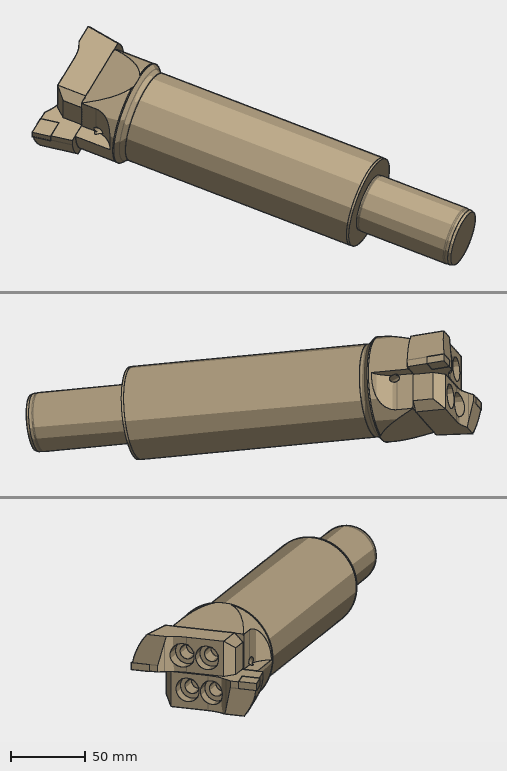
import cadquery as cq
import math


holder_front = 27.4
front_chamfer = 0.8
head_radius = 71.0 / 2
rim_radius = 71.3 / 2
rim_start = 55.6
rim_end = 56.5
shaft_radius = 63.0 / 2
relief_radius = 62.8 / 2
collar_angle = math.radians(45)
collar_length = 2.8
relief_end = 63.2
shaft_land_start = 228.1
shoulder = 229.8
spigot_radius = 40.0 / 2
spigot_relief_radius = 39.5 / 2
neck_end = 230.9
spigot_start = 231.7
spigot_end = 294.8
pilot_start = 295.8
overall_length = 300.0
end_chamfer_length = 2.0
end_chamfer_depth = 0.75

block_height = 25.0
block_inner_side = 24.9
corner_chamfer = 6.0
corner_chamfer_length = 7.0
front_setback = 6.5
hollow_start = 7.6
hollow_radius = 28.0
hollow_angle = math.radians(31)
tip_radius = 45.0
insert_length = 12.7
insert_width = 13.0
insert_height = 5.0
seat_setback = 0.3
insert_proud = 0.8
insert_front_proud = 0.1
side_angle = math.radians(10)
relief_angle = math.radians(8.5)
flank_radius = 39.0
screw_positions = (10.5, -7.0)
screw_height = 12.0
screw_diameter = 10.0
screw_head_diameter = 16.5
screw_head_depth = 8.5

flat_angle = math.radians(20)
pocket_wall = 25.6
pocket_flat_end = 38.5
pocket_radius = 16.5
coolant_diameter = 5.0
coolant_x = 40.6
coolant_height = 2.3
coolant_length = 20.0
coolant_angle = math.radians(40)

AXIS_START = cq.Vector(0, 0, 0)
AXIS_END = cq.Vector(1, 0, 0)


def half_turn(shape):
    """Copy of a shape turned by half a turn about the tool axis."""
    return shape.rotate(AXIS_START, AXIS_END, 180)


def turned_blank():
    """Head, rim, collar, shaft and spigot as one turned profile."""
    collar_end = rim_end + collar_length
    collar_radius = rim_radius - collar_length * math.tan(collar_angle)
    fillet_radius = (collar_radius - relief_radius) / (1 - math.cos(collar_angle))
    fillet_end = collar_end + fillet_radius * math.sin(collar_angle)
    fillet_middle = (
        fillet_end - fillet_radius * math.sin(collar_angle / 2),
        relief_radius + fillet_radius * (1 - math.cos(collar_angle / 2)),
    )
    return (
        cq.Workplane("XY")
        .moveTo(holder_front, 0)
        .lineTo(holder_front, head_radius - front_chamfer)
        .lineTo(holder_front + front_chamfer, head_radius)
        .lineTo(rim_start, head_radius)
        .lineTo(rim_start, rim_radius)
        .lineTo(rim_end, rim_radius)
        .lineTo(collar_end, collar_radius)
        .threePointArc(fillet_middle, (fillet_end, relief_radius))
        .lineTo(relief_end, relief_radius)
        .lineTo(relief_end, shaft_radius)
        .lineTo(shaft_land_start, shaft_radius)
        .lineTo(shaft_land_start, relief_radius)
        .lineTo(shoulder, relief_radius)
        .lineTo(shoulder, spigot_relief_radius)
        .lineTo(neck_end, spigot_relief_radius)
        .lineTo(spigot_start, spigot_radius)
        .lineTo(spigot_end, spigot_radius)
        .lineTo(pilot_start, spigot_relief_radius)
        .lineTo(overall_length - end_chamfer_length, spigot_relief_radius)
        .lineTo(overall_length, spigot_relief_radius - end_chamfer_depth)
        .lineTo(overall_length, 0)
        .close()
        .revolve(360, (0, 0, 0), (1, 0, 0))
    )


def head_flat():
    """Wedge above the sloping flat behind the upper cartridge."""
    run = rim_end - holder_front + rim_radius
    start_height = block_height - front_chamfer * math.tan(flat_angle)
    top = start_height + run * math.tan(flat_angle)
    return (
        cq.Workplane("XZ")
        .moveTo(holder_front, start_height)
        .lineTo(holder_front + run, top)
        .lineTo(holder_front, top)
        .close()
        .extrude(head_radius, both=True)
    )


def chip_pocket():
    """Gullet above the lower cartridge, running out along an arc."""
    wall = -pocket_wall
    return (
        cq.Workplane("XY")
        .moveTo(holder_front, wall)
        .lineTo(pocket_flat_end, wall)
        .radiusArc((pocket_flat_end + pocket_radius, wall - pocket_radius), pocket_radius)
        .lineTo(holder_front, wall - pocket_radius)
        .close()
        .extrude(head_radius)
    )


def coolant_hole():
    """Blind hole at the pocket floor, grazing it where the hole meets the pocket wall."""
    direction = cq.Vector(math.cos(coolant_angle), math.sin(coolant_angle), 0)
    entry = cq.Vector(coolant_x, -pocket_wall, coolant_height)
    lead_in = coolant_diameter / 2 / math.tan(coolant_angle)
    start = entry - direction * lead_in
    return cq.Workplane(
        cq.Solid.makeCylinder(coolant_diameter / 2, lead_in + coolant_length, start, direction)
    )


def make_holder():
    """Turned blank with flats, pockets and coolant holes on both sides."""
    body = turned_blank()
    for cutter in (head_flat(), chip_pocket(), coolant_hole()):
        body = body.cut(cutter).cut(half_turn(cutter))
    return body


def cartridge_flank():
    """Prism with the curved outer side, swept along the back taper."""
    seat_side = tip_radius - insert_proud
    flank_centre = seat_side - math.sqrt(flank_radius**2 - insert_height**2)
    top_side = flank_centre + math.sqrt(flank_radius**2 - block_height**2)
    inner = -2 * block_inner_side
    profile = (
        cq.Workplane("YZ")
        .moveTo(inner, seat_setback)
        .lineTo(seat_side, seat_setback)
        .lineTo(seat_side, insert_height)
        .radiusArc((top_side, block_height), -flank_radius)
        .lineTo(inner, block_height)
        .close()
    )
    sweep = cq.Vector(holder_front, -holder_front * math.tan(side_angle), 0)
    return cq.Workplane(cq.Solid.extrudeLinear(profile.val(), [], sweep))


def cartridge_plan():
    """Plan shape: chamfered inner corner, hollow front and straight tip face."""

    def hollow_point(angle):
        return (
            front_setback - hollow_radius * (1 - math.cos(angle)),
            hollow_start + hollow_radius * math.sin(angle),
        )

    hollow_end = hollow_point(hollow_angle)
    tip_face = insert_front_proud
    tip_start = hollow_end[1] + (hollow_end[0] - tip_face) / math.tan(hollow_angle)
    return (
        cq.Workplane("XY")
        .moveTo(holder_front, -block_inner_side)
        .lineTo(front_setback + corner_chamfer_length, -block_inner_side)
        .lineTo(front_setback, -block_inner_side + corner_chamfer)
        .lineTo(front_setback, hollow_start)
        .threePointArc(hollow_point(hollow_angle / 2), hollow_end)
        .lineTo(tip_face, tip_start)
        .lineTo(tip_face, tip_radius)
        .lineTo(holder_front, tip_radius)
        .close()
        .extrude(block_height)
    )


def front_relief():
    """Wedge that slopes the tip face back above the insert."""
    run = (block_height - insert_height) * math.tan(relief_angle)
    return (
        cq.Workplane("XZ")
        .moveTo(insert_front_proud, insert_height)
        .lineTo(insert_front_proud + run, block_height)
        .lineTo(insert_front_proud, block_height)
        .close()
        .extrude(tip_radius, both=True)
    )


def top_chamfer():
    """Wedge along the upper inner edge of the block."""
    return (
        cq.Workplane("YZ")
        .moveTo(-block_inner_side, block_height)
        .lineTo(-block_inner_side + corner_chamfer, block_height)
        .lineTo(-block_inner_side, block_height - corner_chamfer)
        .close()
        .extrude(holder_front)
    )


def screw_holes():
    """Two counterbored through holes for the clamping screws."""
    points = [(y, screw_height) for y in screw_positions]
    plane = cq.Workplane("YZ").pushPoints(points)
    shanks = plane.circle(screw_diameter / 2).extrude(holder_front)
    heads = plane.circle(screw_head_diameter / 2).extrude(front_setback + screw_head_depth)
    return shanks.union(heads)


def cutting_insert():
    """Cutting plate at the tip, standing slightly proud of the block."""
    taper = insert_length * math.tan(side_angle)
    return (
        cq.Workplane("XY")
        .moveTo(0, tip_radius)
        .lineTo(insert_length, tip_radius - taper)
        .lineTo(insert_length, tip_radius - taper - insert_width)
        .lineTo(0, tip_radius - insert_width)
        .close()
        .extrude(insert_height)
    )


def make_cartridge():
    """Upper cartridge, with its insert on the outer side at +Y."""
    block = cartridge_flank().intersect(cartridge_plan())
    block = block.cut(front_relief()).cut(top_chamfer()).cut(screw_holes())
    return block.union(cutting_insert())


holder = make_holder()
upper_cartridge = make_cartridge()
cartridges = [upper_cartridge, half_turn(upper_cartridge)]

result = cq.Compound.makeCompound([holder.val(), *[cartridge.val() for cartridge in cartridges]])